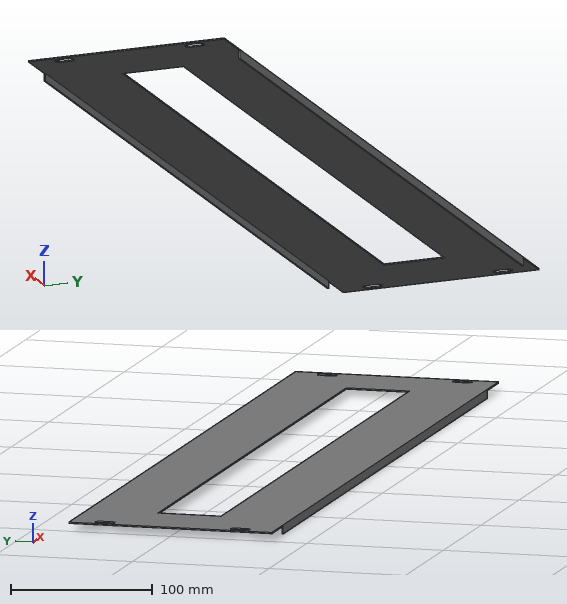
import cadquery as cq

length = 600.0
width = 149.0
height = 6.5
thickness = 1.0

flange_length = 540.0

window_length = 498.0
window_width = 46.0

slot_length = 14.5
slot_width = 6.5
slot_spacing_x = 587.5
slot_spacing_y = 99.0


def make_panel():
    """Flat sheet with its top face at Z = 0."""
    return cq.Workplane("XY").box(length, width, thickness, centered=(True, True, False)).translate(
        (0, 0, -thickness)
    )


def make_flange(side):
    """Downward flange flush with the long edge on the given Y side (-1 or 1)."""
    center_y = side * (width - thickness) / 2
    return cq.Workplane("XY").box(flange_length, thickness, height, centered=(True, True, False)).translate(
        (0, center_y, -height)
    )


def make_window():
    return cq.Workplane("XY").rect(window_length, window_width).extrude(-thickness)


def make_slots():
    return (
        cq.Workplane("XY")
        .rarray(slot_spacing_x, slot_spacing_y, 2, 2)
        .slot2D(slot_length, slot_width, 90)
        .extrude(-thickness)
    )


result = make_panel()
for side in (-1, 1):
    result = result.union(make_flange(side))
result = result.cut(make_window()).cut(make_slots())